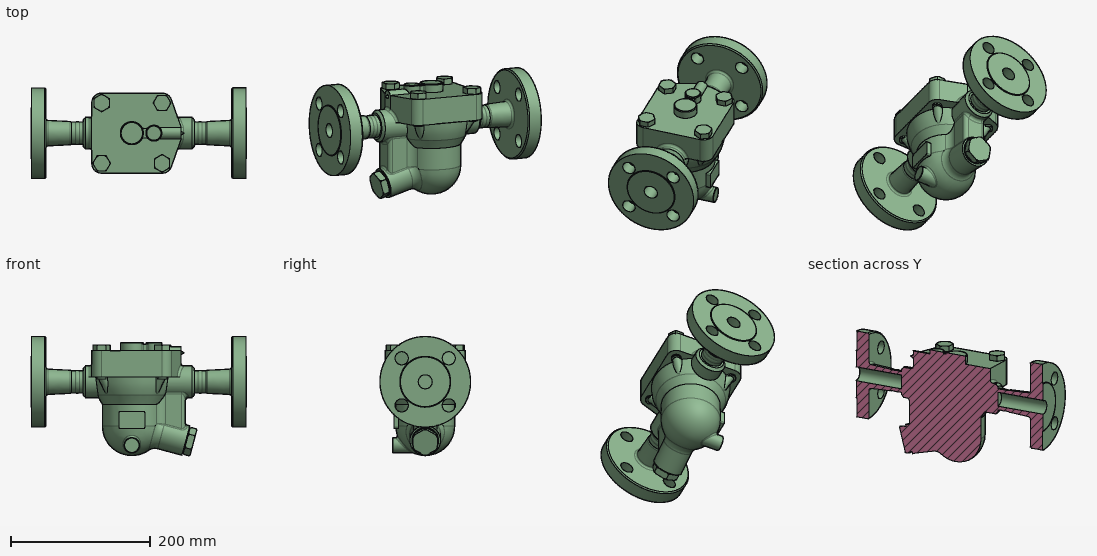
import cadquery as cq
import math

half_length = 154.5
body_x = -10.0

flange_diameter = 130.0
flange_back = 133.0
flange_chamfer = 2.0
raised_height = 1.0
raised_diameter = 73.0
raised_chamfer = 1.0
flange_hole_diameter = 19.0
flange_hole_offset = 33.7
bore_diameter = 20.0

socket_radius = 46.0 / 2
socket_end = 76.0
shoulder_radius = 19.2
shoulder_end = 79.7
pipe_radius = 16.0
bead_start = 85.0
bead_end = 91.0
bead_height = 0.45
taper_foot = 96.5
taper_start = 98.5
taper_radius = 33.7 / 2
hub_radius = 36.8 / 2
hub_fillet = 3.0
socket_fillet = 3.7

plate_bottom = 6.8
plate_top = 44.5
bolt_offset = 43.3
plate_corner = 14.2
nose_x = 60.5
nose_half_width = 17.5 / 2
slant_x = 43.5

bolt_flats = 22.0
bolt_head = 8.3
bolt_head_chamfer = 1.0
bolt_turn = 30.0
stud_diameter = 14.0
stud_end = 4.0

large_boss_diameter = 33.0
small_boss_diameter = 23.0
small_boss_x = 21.5
boss_top = 56.5
boss_chamfer = 1.2
bridge_width = 14.0
bridge_top = 54.0
bridge_fillet = 2.5
channel_axis_z = 41.5
channel_tip_radius = 2.8
channel_tip_length = 4.3

bowl_radius = 42.3
bowl_center_z = -63.3
cone_bottom = -32.0
cone_top = -19.2
bulge_radius = 56.2
shoulder_ring_radius = math.sqrt(bulge_radius**2 - (plate_bottom - cone_top) ** 2)

pillar_radius = 6.8
pillar_offset = 41.5
pillar_tilt = 33.5
pillar_rise = 7.5
pillar_drop = 34.0

rib_end = 66.7
rib_half_width = 17.0
rib_fillet = 15.8
rib_edge_radius = 5.5
rib_bottom = -69.5
rib_barrel_fillet = 3.0
rib_socket_fillet = 4.5

pad_width = 37.0
pad_height = 24.5
pad_center_z = -54.7
pad_face = 44.8
pad_corner = 2.0
drain_diameter = 22.0
drain_z = -91.0
drain_face = 46.7
drain_chamfer = 0.5
drain_fillet = 2.5

barrel_tilt = 15.0
barrel_diameter = 44.0
barrel_end = 80.0
barrel_blend = 15.8
plug_neck_diameter = 38.3
plug_neck = 1.2
plug_flats = 35.0
plug_length = 10.2
plug_chamfer = 1.5


def cylinder_z(x, y, diameter, bottom, top):
    """Upright cylinder between two heights."""
    return cq.Workplane("XY", origin=(x, y, bottom)).circle(diameter / 2).extrude(top - bottom)


def hexagon_head(flats, length, chamfer, both_ends):
    """Hexagon along Z from the origin, corners trimmed by a chamfered cylinder."""
    corners = flats / math.cos(math.pi / 6)
    trim = cq.Workplane("XY").circle(corners / 2).extrude(length)
    trim = trim.edges().chamfer(chamfer) if both_ends else trim.faces(">Z").edges().chamfer(chamfer)
    return cq.Workplane("XY").polygon(6, corners).extrude(length).intersect(trim)


def make_pipe_end():
    """Socket, weld neck and flange on the +X side, with a blind bore."""
    face = half_length - raised_height
    bead_mid = (bead_start + bead_end) / 2
    fillet_mid = hub_fillet * (1 - math.sqrt(0.5))
    rim = flange_diameter / 2
    raised = raised_diameter / 2
    profile = (
        cq.Workplane("XY")
        .moveTo(0, 0)
        .lineTo(0, socket_radius)
        .lineTo(socket_end, socket_radius)
        .lineTo(shoulder_end, shoulder_radius)
        .lineTo(shoulder_end, pipe_radius)
        .lineTo(bead_start, pipe_radius)
        .threePointArc((bead_mid, pipe_radius + bead_height), (bead_end, pipe_radius))
        .lineTo(taper_foot, pipe_radius)
        .lineTo(taper_start, taper_radius)
        .lineTo(flange_back - hub_fillet, hub_radius)
        .threePointArc(
            (flange_back - fillet_mid, hub_radius + fillet_mid), (flange_back, hub_radius + hub_fillet)
        )
        .lineTo(flange_back, rim - flange_chamfer)
        .lineTo(flange_back + flange_chamfer, rim)
        .lineTo(face, rim)
        .lineTo(face, raised)
        .lineTo(half_length, raised - raised_chamfer)
        .lineTo(half_length, 0)
        .close()
    )
    pipe_end = profile.revolve(360, (0, 0, 0), (1, 0, 0))
    flange_plane = cq.Workplane("YZ", origin=(flange_back, 0, 0))
    holes = (
        flange_plane.rect(2 * flange_hole_offset, 2 * flange_hole_offset, forConstruction=True)
        .vertices()
        .circle(flange_hole_diameter / 2)
        .extrude(half_length - flange_back)
    )
    bore = (
        cq.Workplane("YZ", origin=(shoulder_end, 0, 0))
        .circle(bore_diameter / 2)
        .extrude(half_length - shoulder_end)
    )
    return pipe_end.cut(holes).cut(bore)


def make_plate():
    """Cover and body flange: rounded plate that narrows to a nose on the +X side."""
    half_width = bolt_offset + plate_corner
    left = body_x - half_width
    outline = [
        (left, -half_width),
        (slant_x, -half_width),
        (nose_x, -nose_half_width),
        (nose_x, nose_half_width),
        (slant_x, half_width),
        (left, half_width),
    ]
    plate = cq.Workplane("XY", origin=(0, 0, plate_bottom)).polyline(outline).close()
    plate = plate.extrude(plate_top - plate_bottom)
    plate = plate.edges("|Z").edges("<Y or >Y").fillet(plate_corner)
    sockets = (
        cq.Workplane("YZ", origin=(-socket_end, 0, 0)).circle(socket_radius).extrude(2 * socket_end)
    )
    above_underside = cq.Workplane("XY", origin=(0, 0, plate_bottom)).box(
        2 * socket_end, 2 * socket_radius, socket_radius, centered=(True, True, False)
    )
    plate = plate.union(sockets.intersect(above_underside))
    joint = cq.selectors.BoxSelector(
        (left - socket_fillet, -socket_radius, plate_bottom),
        (nose_x + socket_fillet, socket_radius, socket_radius + socket_fillet),
    )
    return plate.edges("%CIRCLE or %ELLIPSE").edges(joint).fillet(socket_fillet)


def make_bowl():
    """Revolved body: bulged upper part, cone, cylinder and hemispherical bottom."""
    diagonal = bowl_radius * math.sqrt(0.5)
    mid_angle = math.asin((plate_bottom - cone_top) / bulge_radius) / 2
    mid_point = (bulge_radius * math.cos(mid_angle), plate_bottom - bulge_radius * math.sin(mid_angle))
    profile = (
        cq.Workplane("XZ", origin=(body_x, 0, 0))
        .moveTo(0, plate_bottom)
        .lineTo(bulge_radius, plate_bottom)
        .threePointArc(mid_point, (shoulder_ring_radius, cone_top))
        .lineTo(bowl_radius, cone_bottom)
        .lineTo(bowl_radius, bowl_center_z)
        .threePointArc((diagonal, bowl_center_z - diagonal), (0, bowl_center_z - bowl_radius))
        .close()
    )
    return profile.revolve(360, (0, 0, 0), (0, 1, 0))


def make_pillars():
    """Slanted round webs that carry the corners of the plate down to the bowl shoulder."""
    pillar = cylinder_z(0, 0, 2 * pillar_radius, -pillar_drop, pillar_rise)
    pillar = pillar.rotate((0, 0, 0), (0, 1, 0), pillar_tilt)
    pillar = pillar.translate((pillar_offset * math.sqrt(2), 0, plate_bottom))
    pillars = cq.Workplane("XY")
    for turn in (45, 135, 225, 315):
        pillars = pillars.add(pillar.rotate((0, 0, 0), (0, 0, 1), turn).translate((body_x, 0, 0)))
    return pillars.combine()


def make_bolts():
    """Four hexagon bolts; diagonal neighbours share the same head rotation."""
    bolts = cq.Workplane("XY")
    head = hexagon_head(bolt_flats, bolt_head, bolt_head_chamfer, False)
    for side_x in (-1, 1):
        for side_y in (-1, 1):
            x = body_x + side_x * bolt_offset
            y = side_y * bolt_offset
            turn = 0 if side_x == side_y else bolt_turn
            bolts = bolts.add(head.rotate((0, 0, 0), (0, 0, 1), turn).translate((x, y, plate_top)))
            bolts = bolts.add(cylinder_z(x, y, stud_diameter, stud_end, plate_top))
    return bolts.combine()


def make_cover_bosses():
    """Two round bosses joined by a bridge, and the half-round channel to the nose."""
    large = cylinder_z(body_x, 0, large_boss_diameter, plate_top, boss_top)
    small = cylinder_z(small_boss_x, 0, small_boss_diameter, plate_top, boss_top)
    bosses = large.faces(">Z").chamfer(boss_chamfer).union(small.faces(">Z").chamfer(boss_chamfer))
    bridge = cq.Workplane("XY").box(
        small_boss_x - body_x, bridge_width, bridge_top - plate_top, centered=(False, True, False)
    )
    channel = (
        cq.Workplane("YZ", origin=(small_boss_x, 0, channel_axis_z))
        .circle(nose_half_width)
        .extrude(nose_x - small_boss_x)
    )
    tip = cq.Workplane(
        cq.Solid.makeCone(
            channel_tip_radius,
            0,
            channel_tip_length,
            pnt=cq.Vector(nose_x, 0, channel_axis_z),
            dir=cq.Vector(1, 0, 0),
        )
    )
    bosses = bosses.union(bridge.translate((body_x, 0, plate_top)))
    gap = cq.selectors.BoxSelector(
        (body_x, -bridge_width, plate_top), (small_boss_x, bridge_width, boss_top), True
    )
    bosses = bosses.edges("|Z").edges(gap).fillet(bridge_fillet)
    return bosses.union(channel).union(tip)


def make_rib():
    """Web from the bowl to the outlet socket, blended into the bowl by concave arcs."""
    blend_y = rib_half_width + rib_fillet
    blend_x = math.sqrt((bowl_radius + rib_fillet) ** 2 - blend_y**2)
    touch = bowl_radius / (bowl_radius + rib_fillet)
    blend_angle = math.atan2(blend_y, -blend_x) / 2 + math.pi / 4
    mid_x = blend_x + rib_fillet * math.cos(blend_angle)
    mid_y = blend_y - rib_fillet * math.sin(blend_angle)
    rib = (
        cq.Workplane("XY", origin=(body_x, 0, rib_bottom))
        .moveTo(0, -touch * blend_y)
        .lineTo(touch * blend_x, -touch * blend_y)
        .threePointArc((mid_x, -mid_y), (blend_x, -rib_half_width))
        .lineTo(rib_end - body_x, -rib_half_width)
        .lineTo(rib_end - body_x, rib_half_width)
        .lineTo(blend_x, rib_half_width)
        .threePointArc((mid_x, mid_y), (touch * blend_x, touch * blend_y))
        .lineTo(0, touch * blend_y)
        .close()
        .extrude(-rib_bottom)
    )
    return rib.edges("|Z").edges(">X").fillet(rib_edge_radius)


def make_name_pad():
    """Flat pad with rounded corners in front of the bowl."""
    return (
        cq.Workplane("XZ", origin=(body_x, 0, pad_center_z))
        .rect(pad_width, pad_height)
        .extrude(pad_face)
        .edges("|Y")
        .fillet(pad_corner)
    )


def make_drain_boss():
    """Round boss along Y that runs into the bowl bottom."""
    boss = cq.Workplane("XZ", origin=(body_x, 0, drain_z)).circle(drain_diameter / 2).extrude(drain_face)
    return boss.faces("<Y").chamfer(drain_chamfer)


def make_barrel():
    """Strainer barrel and plug, pointing from the bowl centre down towards +X."""
    radius = barrel_diameter / 2
    blend_r = radius + barrel_blend
    blend_s = math.sqrt((bowl_radius + barrel_blend) ** 2 - blend_r**2)
    touch = bowl_radius / (bowl_radius + barrel_blend)
    blend_angle = (math.pi / 2 + math.atan2(blend_r, blend_s)) / 2
    barrel = (
        cq.Workplane("XZ")
        .moveTo(0, 0)
        .lineTo(0, barrel_end)
        .lineTo(radius, barrel_end)
        .lineTo(radius, blend_s)
        .threePointArc(
            (
                blend_r - barrel_blend * math.sin(blend_angle),
                blend_s - barrel_blend * math.cos(blend_angle),
            ),
            (touch * blend_r, touch * blend_s),
        )
        .close()
        .revolve(360, (0, 0, 0), (0, 1, 0))
    )
    neck = cylinder_z(0, 0, plug_neck_diameter, barrel_end, barrel_end + plug_neck)
    plug = hexagon_head(plug_flats, plug_length, plug_chamfer, True)
    plug = plug.translate((0, 0, barrel_end + plug_neck))
    barrel = barrel.union(neck).union(plug)
    return barrel.rotate((0, 0, 0), (0, 1, 0), 90 + barrel_tilt).translate((body_x, 0, bowl_center_z))


def join_rib_top(outlet):
    """Outlet with the straight upper end of the rib, rounded where the two meet."""
    rib_top = cq.Workplane("XY", origin=(body_x, 0, cone_bottom)).box(
        rib_end - body_x, 2 * rib_half_width, -cone_bottom, centered=(False, True, False)
    )
    rib_top = rib_top.edges("|Z").edges(">X").fillet(rib_edge_radius)
    joint = cq.selectors.BoxSelector(
        (body_x + rib_fillet, -socket_radius, -socket_radius),
        (rib_end + rib_edge_radius, socket_radius, -pipe_radius + rib_socket_fillet),
    )
    return outlet.union(rib_top).edges(joint).fillet(rib_socket_fillet)


def make_lower_body():
    """Bowl with the rib, strainer barrel, name pad and drain boss."""
    body = make_rib().union(make_barrel()).union(make_bowl())
    barrel_joint = cq.selectors.BoxSelector(
        (body_x + bowl_radius - rib_edge_radius, -bowl_radius, rib_bottom),
        (rib_end + rib_edge_radius, bowl_radius, bowl_center_z + rib_edge_radius),
        True,
    )
    body = body.edges(barrel_joint).fillet(rib_barrel_fillet)
    body = body.union(make_drain_boss())
    drain_joint = cq.selectors.BoxSelector(
        (body_x - drain_diameter, -bowl_radius, drain_z - drain_diameter),
        (body_x + drain_diameter, 0, drain_z + drain_diameter),
        True,
    )
    body = body.edges("not %CIRCLE").edges(drain_joint).fillet(drain_fillet)
    return body.union(make_name_pad())


outlet = make_pipe_end()
inlet = outlet.rotate((0, 0, 0), (0, 0, 1), 180)
result = make_plate().union(inlet).union(join_rib_top(outlet)).union(make_lower_body())
result = result.union(make_pillars()).union(make_bolts()).union(make_cover_bosses())